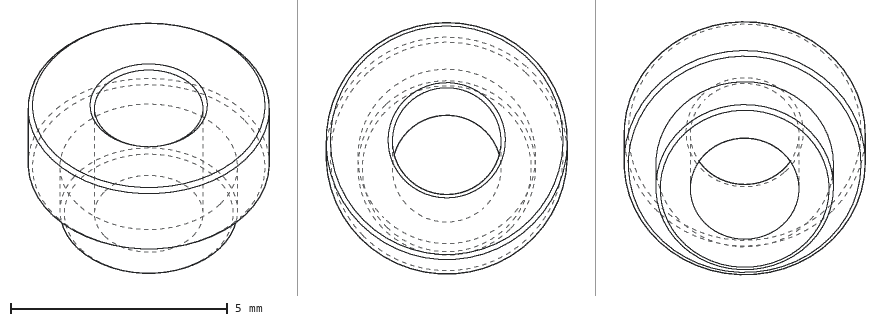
import cadquery as cq

head_diameter = 5.56
spigot_diameter = 4.09
bore_diameter = 2.5
total_height = 3.53
head_height = 2.0
chamfer = 0.1

spigot_height = total_height - head_height


def upright_disc(diameter, height):
    """Upright cylinder on the XY plane."""
    return cq.Workplane("XY").circle(diameter / 2).extrude(height)


spigot = upright_disc(spigot_diameter, spigot_height).faces("<Z").edges().chamfer(chamfer)

head = upright_disc(head_diameter, head_height).edges("%CIRCLE").chamfer(chamfer)
body = spigot.union(head.translate((0, 0, spigot_height)))

bored = body.faces(">Z").workplane().hole(bore_diameter)
bore_mouth = cq.selectors.RadiusNthSelector(0)
result = bored.faces(">Z").edges(bore_mouth).chamfer(chamfer)